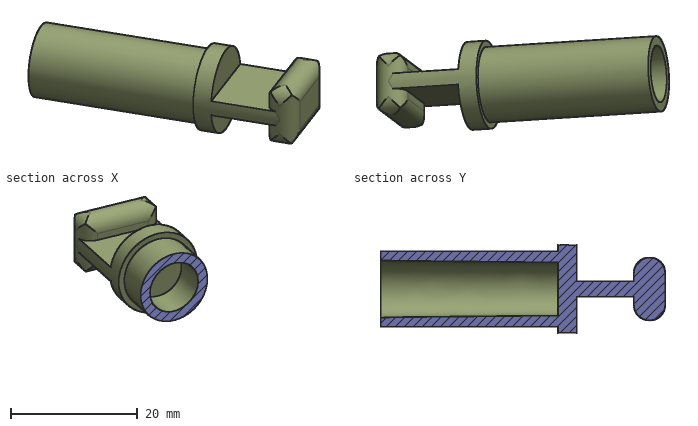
import cadquery as cq

overall_length = 45.0
tube_diameter = 12.0
tube_length = 28.0
collar_diameter = 14.0
collar_thickness = 3.0
web_thickness = 2.5

bore_mouth_diameter = 9.0
bore_floor_diameter = 8.4
bore_depth = tube_length

head_thickness = 5.0
head_height = 10.0
head_width = collar_diameter
head_radius = head_thickness / 2
head_center_x = overall_length - head_radius


def make_tube():
    return cq.Workplane("YZ").circle(tube_diameter / 2).extrude(tube_length)


def make_collar():
    return (
        cq.Workplane("YZ", origin=(tube_length, 0, 0))
        .circle(collar_diameter / 2)
        .extrude(collar_thickness)
    )


def make_web():
    """Flat web with sides that continue the round of the collar, ending at the middle of the head."""
    web_length = head_center_x - tube_length
    bar = (
        cq.Workplane("YZ", origin=(tube_length, 0, 0))
        .circle(collar_diameter / 2)
        .extrude(web_length)
    )
    slab = cq.Workplane("XY").box(2 * head_center_x, collar_diameter, web_thickness)
    return bar.intersect(slab)


def make_head():
    """Common volume of three prisms with rounded outlines, one along each axis."""
    center = (head_center_x, 0, 0)
    along_z = (
        cq.Workplane("XY", origin=center)
        .slot2D(head_width, head_thickness, 90)
        .extrude(head_height / 2, both=True)
    )
    along_y = (
        cq.Workplane("XZ", origin=center)
        .slot2D(head_height, head_thickness, 90)
        .extrude(head_width / 2, both=True)
    )
    along_x = (
        cq.Workplane("XY", origin=center)
        .box(head_thickness, head_width, head_height)
        .edges("|X")
        .fillet(head_radius)
    )
    return along_z.intersect(along_y).intersect(along_x)


def make_bore():
    return (
        cq.Workplane("YZ")
        .circle(bore_mouth_diameter / 2)
        .workplane(offset=bore_depth)
        .circle(bore_floor_diameter / 2)
        .loft(ruled=True)
    )


body = make_tube().union(make_collar()).union(make_web()).union(make_head())
result = body.cut(make_bore())